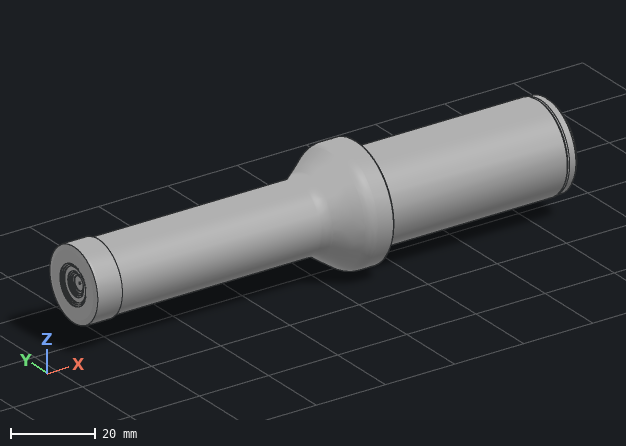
import cadquery as cq
import math

TOTAL_LENGTH = 138.0

HEAD_LENGTH = 7.3
HEAD_RADIUS = 10.2
FACE_RADIUS = 8.7
RIM_RADIUS = 10.1
RIM_X = 0.3
RIM_CHAMFER_X = 1.0

RECESS_RADII = (5.4, 5.0, 4.5, 3.3, 2.9, 2.5, 2.0, 0.3)
STEP_DEPTH = 0.3

NECK_RADIUS = 19.5 / 2
FLANGE_RADIUS = 32.0 / 2
FLANGE_BACK_X = 82.1
FLANGE_CHAMFER = 0.4
NECK_BLEND_X = 65.0
CONE_START_X = 68.0
CONE_END_X = 74.2
FLANGE_RIM_X = 77.3
CONE_ANGLE = math.radians(36)

SHANK_RADIUS = 25.0 / 2
RELIEF_RADIUS = 24.5 / 2
UNDERCUT_RADIUS = 12.0
UNDERCUT_END_X = 83.1
SHANK_START_X = 84.3
SHANK_END_X = 134.4
GROOVE_X = 134.8
GROOVE_RADIUS = 12.1
RELIEF_START_X = 135.2
END_CHAMFER = 1.0


def make_head():
    """Cylindrical head with a stepped recess in its face."""
    profile = (
        cq.Workplane("XY")
        .moveTo(0, 0)
        .lineTo(0, FACE_RADIUS)
        .lineTo(RIM_X, RIM_RADIUS)
        .lineTo(RIM_CHAMFER_X, HEAD_RADIUS)
        .lineTo(HEAD_LENGTH, HEAD_RADIUS)
        .lineTo(HEAD_LENGTH, 0)
        .close()
    )
    head_body = profile.revolve(360, (0, 0, 0), (1, 0, 0))
    for step, radius in enumerate(RECESS_RADII, start=1):
        head_body = head_body.cut(cq.Workplane("YZ").circle(radius).extrude(step * STEP_DEPTH))
    return head_body


def make_holder():
    """Neck, coned flange and shank, with tangent blends at both ends of the cone."""
    blend_slope = math.tan(CONE_ANGLE / 2)
    cone_start_radius = NECK_RADIUS + (CONE_START_X - NECK_BLEND_X) * blend_slope
    cone_end_radius = FLANGE_RADIUS - (FLANGE_RIM_X - CONE_END_X) * blend_slope
    profile = (
        cq.Workplane("XY")
        .moveTo(HEAD_LENGTH, 0)
        .lineTo(HEAD_LENGTH, NECK_RADIUS)
        .lineTo(NECK_BLEND_X, NECK_RADIUS)
        .tangentArcPoint((CONE_START_X, cone_start_radius), relative=False)
        .lineTo(CONE_END_X, cone_end_radius)
        .tangentArcPoint((FLANGE_RIM_X, FLANGE_RADIUS), relative=False)
        .lineTo(FLANGE_BACK_X - FLANGE_CHAMFER, FLANGE_RADIUS)
        .lineTo(FLANGE_BACK_X, FLANGE_RADIUS - FLANGE_CHAMFER)
        .lineTo(FLANGE_BACK_X, UNDERCUT_RADIUS)
        .lineTo(UNDERCUT_END_X, RELIEF_RADIUS)
        .lineTo(SHANK_START_X, SHANK_RADIUS)
        .lineTo(SHANK_END_X, SHANK_RADIUS)
        .lineTo(GROOVE_X, GROOVE_RADIUS)
        .lineTo(RELIEF_START_X, RELIEF_RADIUS)
        .lineTo(TOTAL_LENGTH - END_CHAMFER, RELIEF_RADIUS)
        .lineTo(TOTAL_LENGTH, RELIEF_RADIUS - END_CHAMFER)
        .lineTo(TOTAL_LENGTH, 0)
        .close()
    )
    return profile.revolve(360, (0, 0, 0), (1, 0, 0))


head = make_head()
holder = make_holder()
result = cq.Compound.makeCompound([head.val(), holder.val()])